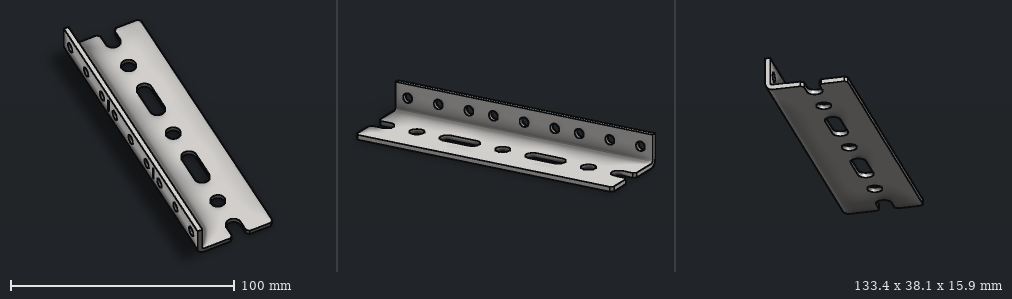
import cadquery as cq

length = 133.4
width = 38.1
height = 15.9

thickness = 2.4
inner_bend_radius = 1.2
outer_bend_radius = inner_bend_radius + thickness

segment_count = 3
segment_pitch = length / segment_count

base_row_y = 21.3
base_hole_diameter = 6.8
slot_length = 20.0
slot_width = 7.1
corner_chamfer = 1.3

upright_row_z = height - 6.7
upright_hole_diameter = 4.5
upright_hole_pitch = 15.9
mark_width = 0.8
mark_height = 6.5
mark_depth = 0.4

segment_centers = [(i - (segment_count - 1) / 2) * segment_pitch for i in range(segment_count)]
segment_borders = [(i - segment_count / 2) * segment_pitch for i in range(segment_count + 1)]
inner_borders = segment_borders[1:-1]


def make_angle():
    """L-shaped sheet with a rounded bend along the front lower edge."""
    profile = (
        cq.Workplane("YZ")
        .moveTo(outer_bend_radius, 0)
        .lineTo(width, 0)
        .lineTo(width, thickness)
        .lineTo(outer_bend_radius, thickness)
        .radiusArc((thickness, outer_bend_radius), inner_bend_radius)
        .lineTo(thickness, height)
        .lineTo(0, height)
        .lineTo(0, outer_bend_radius)
        .radiusArc((outer_bend_radius, 0), -outer_bend_radius)
        .close()
    )
    return profile.extrude(length / 2, both=True)


def make_base_holes():
    """One round hole at the middle of each segment."""
    points = [(x, base_row_y) for x in segment_centers]
    return cq.Workplane("XY").pushPoints(points).circle(base_hole_diameter / 2).extrude(thickness)


def make_base_slots():
    """A slot on every segment border; the outermost two become open end notches."""
    points = [(x, base_row_y) for x in segment_borders]
    return cq.Workplane("XY").pushPoints(points).slot2D(slot_length, slot_width).extrude(thickness)


def make_corner_cuts():
    """Diamond prisms that chamfer the rear corners and the mouths of the end notches."""
    corner_rows = [width, base_row_y + slot_width / 2, base_row_y - slot_width / 2]
    points = [(x, y) for x in (-length / 2, length / 2) for y in corner_rows]
    return (
        cq.Workplane("XY")
        .pushPoints(points)
        .polygon(4, 2 * corner_chamfer)
        .extrude(thickness)
    )


def make_upright_holes():
    """Three evenly spaced holes in each segment of the upright flange."""
    offsets = (-upright_hole_pitch, 0, upright_hole_pitch)
    points = [(x + offset, upright_row_z) for x in segment_centers for offset in offsets]
    return cq.Workplane("XZ").pushPoints(points).circle(upright_hole_diameter / 2).extrude(-thickness)


def make_marks():
    """Shallow vertical V-grooves on the front face, at the borders between segments."""
    half_width = mark_width / 2
    marks = cq.Workplane("XY", origin=(0, 0, upright_row_z - mark_height / 2))
    for x in inner_borders:
        marks = (
            marks.moveTo(x - half_width, 0)
            .lineTo(x + half_width, 0)
            .lineTo(x, mark_depth)
            .close()
        )
    return marks.extrude(mark_height)


result = (
    make_angle()
    .cut(make_base_holes())
    .cut(make_base_slots())
    .cut(make_corner_cuts())
    .cut(make_upright_holes())
    .cut(make_marks())
)